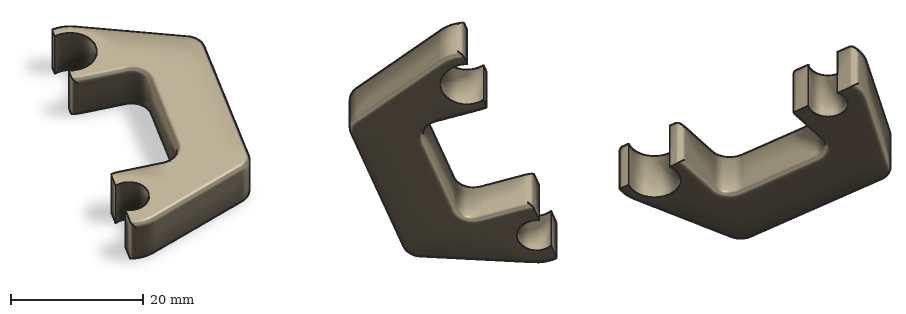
import cadquery as cq
import math

thickness = 8.0
edge_radius = 1.0

foot_x = 16.0
foot_radius = 6.0
foot_end_y = -1.36
back_y = 20.0
back_corner_x = 12.0
back_corner_radius = 3.0
back_corner_y = back_y - back_corner_radius

opening_half_width = foot_x - foot_radius
opening_top_y = 10.0
opening_corner_radius = 3.0

left_hole_diameter = 8.0
right_hole_diameter = 6.0

foot_end_angle = math.asin(foot_end_y / foot_radius)

centre_dx = foot_x - back_corner_x
centre_distance = math.hypot(centre_dx, back_corner_y)
side_angle = math.atan2(centre_dx, back_corner_y) + math.asin(
    (foot_radius - back_corner_radius) / centre_distance
)


def arc_point(centre_x, centre_y, radius, angle):
    """Point on a circle at an angle in radians from +X."""
    return (centre_x + radius * math.cos(angle), centre_y + radius * math.sin(angle))


def mirrored(point):
    """The same point on the other side of the YZ plane."""
    return (-point[0], point[1])


def make_plate():
    """Tapered plate with tangent arcs at the feet and the back corners."""
    foot_end = arc_point(foot_x, 0, foot_radius, foot_end_angle)
    foot_middle = (foot_x + foot_radius, 0)
    foot_tangent = arc_point(foot_x, 0, foot_radius, side_angle)

    corner_middle_angle = (side_angle + math.pi / 2) / 2
    corner_start = arc_point(back_corner_x, back_corner_y, back_corner_radius, side_angle)
    corner_middle = arc_point(back_corner_x, back_corner_y, back_corner_radius, corner_middle_angle)
    corner_end = (back_corner_x, back_y)

    return (
        cq.Workplane("XY")
        .moveTo(*foot_end)
        .threePointArc(foot_middle, foot_tangent)
        .lineTo(*corner_start)
        .threePointArc(corner_middle, corner_end)
        .lineTo(*mirrored(corner_end))
        .threePointArc(mirrored(corner_middle), mirrored(corner_start))
        .lineTo(*mirrored(foot_tangent))
        .threePointArc(mirrored(foot_middle), mirrored(foot_end))
        .close()
        .extrude(thickness)
    )


def make_opening():
    """Block removed between the feet, rounded at its top and following the foot arcs at its mouth."""
    wall_start = (opening_half_width, 0)
    mouth_end = arc_point(foot_x, 0, foot_radius, math.pi - foot_end_angle)
    mouth_middle = arc_point(foot_x, 0, foot_radius, math.pi - foot_end_angle / 2)
    top_corner = (opening_half_width, opening_top_y)

    block = (
        cq.Workplane("XY")
        .moveTo(*mouth_end)
        .threePointArc(mouth_middle, wall_start)
        .lineTo(*top_corner)
        .lineTo(*mirrored(top_corner))
        .lineTo(*mirrored(wall_start))
        .threePointArc(mirrored(mouth_middle), mirrored(mouth_end))
        .close()
        .extrude(thickness)
    )
    return block.faces(">Y").edges("|Z").fillet(opening_corner_radius)


def round_wall_edges(body):
    """Round every edge of the side walls; the foot ends stay sharp against top and bottom."""
    foot_end_edges = body.faces("<Y").edges("|X")
    face_edges = body.faces("|Z").edges().filter(
        lambda edge: not any(edge.isSame(sharp) for sharp in foot_end_edges.vals())
    )
    end_corner_edges = body.faces("<Y").edges("|Z")
    return face_edges.add(end_corner_edges).fillet(edge_radius)


def make_clip_hole(x, diameter):
    """Cylinder removed through the plate at a foot centre."""
    return cq.Workplane("XY").center(x, 0).circle(diameter / 2).extrude(thickness)


result = round_wall_edges(make_plate().cut(make_opening()))
result = result.cut(make_clip_hole(-foot_x, left_hole_diameter))
result = result.cut(make_clip_hole(foot_x, right_hole_diameter))